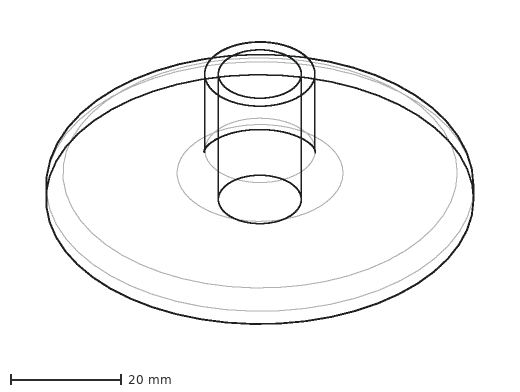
import cadquery as cq

flange_diameter = 77.5
flange_thickness = 6.0
total_height = 28.0
tube_diameter = 20.0
bore_diameter = 15.0
rim_fillet = 3.0
root_fillet = 5.0

flange = (
    cq.Workplane("XY")
    .circle(flange_diameter / 2)
    .extrude(flange_thickness)
    .faces(">Z")
    .edges()
    .fillet(rim_fillet)
)

tube = cq.Workplane("XY").circle(tube_diameter / 2).extrude(total_height)
flange_top = cq.selectors.NearestToPointSelector((0, 0, flange_thickness))
root_edge = cq.selectors.RadiusNthSelector(0)
body = (
    flange.union(tube)
    .faces(flange_top)
    .edges(root_edge)
    .fillet(root_fillet)
)

bore = cq.Workplane("XY").circle(bore_diameter / 2).extrude(total_height)
result = body.cut(bore)